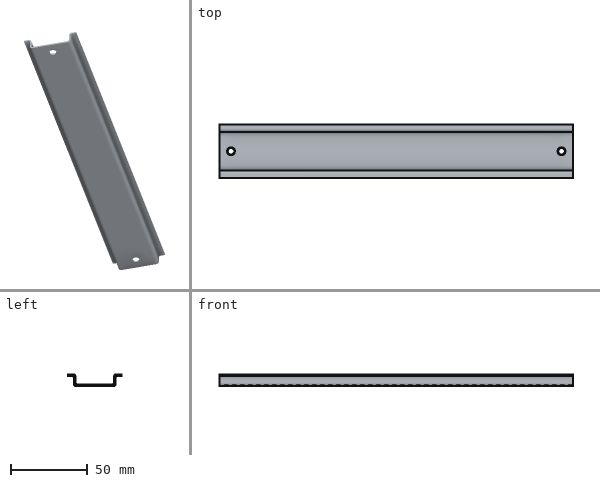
import cadquery as cq

length = 230.0
width = 35.0
height = 7.5
thickness = 1.0
channel_width = 27.1
inner_bend_radius = 0.9
outer_bend_radius = inner_bend_radius + thickness

hole_diameter = 4.5
hole_end_distance = 7.5


def block(size_y, size_z, bottom):
    """Full-length box centred in X and Y, standing on the given height."""
    return cq.Workplane("XY").box(length, size_y, size_z, centered=(True, True, False)).translate((0, 0, bottom))


def rail():
    """Hat-shaped sheet with rounded bends."""
    body = block(channel_width, height, 0).union(block(width, thickness, height - thickness))
    body = body.edges("|X and <Z").fillet(outer_bend_radius)
    half_channel = channel_width / 2
    root_tolerance = 0.02
    flange_roots = cq.selectors.BoxSelector(
        (-length, -half_channel - root_tolerance, height - thickness - root_tolerance),
        (length, half_channel + root_tolerance, height - thickness + root_tolerance),
    )
    body = body.edges("|X").edges(flange_roots).fillet(inner_bend_radius)

    cavity_width = channel_width - 2 * thickness
    cavity = block(cavity_width, height, thickness).edges("|X and <Z").fillet(inner_bend_radius)
    body = body.cut(cavity)
    half_cavity = cavity_width / 2
    rims = cq.selectors.BoxSelector(
        (-length, -half_cavity - root_tolerance, height - root_tolerance),
        (length, half_cavity + root_tolerance, height + root_tolerance),
    )
    return body.edges("|X").edges(rims).fillet(outer_bend_radius)


hole_x = length / 2 - hole_end_distance
holes = (
    cq.Workplane("XY")
    .pushPoints([(-hole_x, 0), (hole_x, 0)])
    .circle(hole_diameter / 2)
    .extrude(height)
)

result = rail().cut(holes)